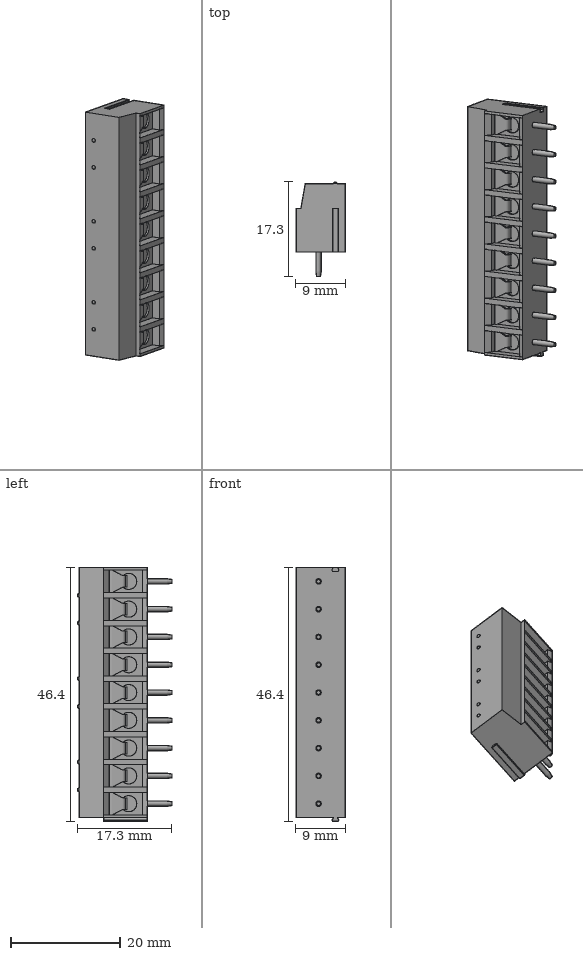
import cadquery as cq


pole_count = 9
pitch = 5.08
housing_width = 9.0
housing_depth = 12.5
housing_height = pole_count * pitch
step_y = 8.0
step_width = 0.85
slope_top_x = 1.65

rib_thickness = 1.0
pocket_height = pitch - rib_thickness
floor_x = 2.0
ramp_x = 0.9
pocket_back_y = 7.0
lip_x = 0.43
lip_y = 0.87

recess_radius = 1.47
recess_y = 3.42
recess_bottom_x = 2.4
tongue_x = 1.65
tongue_back_radius = 0.6
tongue_shoulder_y = pocket_back_y - tongue_back_radius
tongue_bend_radius = 0.5
tongue_end_y = 4.0
tongue_bend_y = tongue_end_y + tongue_bend_radius
tongue_tip_height = 2.1
slot_end_y = 3.78
slot_bottom_x = 2.8

pin_x = 4.1
pin_radius = 0.5
pin_tip_radius = 0.36
pin_length = 4.5
pin_taper_length = 0.9
pin_shank_length = pin_length - pin_taper_length

dovetail_x = 7.18
dovetail_length = step_y
dovetail_widest = 1.26
dovetail_widest_depth = 0.44
dovetail_tip = 1.04
rail_depth = 0.69
rail_neck = 0.7
groove_depth = 0.73
groove_neck = 0.84
groove_mouth = 1.1
groove_flare_depth = 0.12

nub_x = 7.15
nub_radius = 0.35
nub_height = 0.3
nub_skip_interval = 3
nub_joints = [k for k in range(1, pole_count) if k % nub_skip_interval != 0]


def pole_center(index):
    return (index + 0.5) * pitch


def extrude_centered(sketch, height, center_z):
    """Extrude an XY outline symmetrically about the height center_z."""
    return sketch.extrude(height / 2, both=True).translate((0, 0, center_z))


def make_housing():
    outline = cq.Workplane("XY").polyline([
        (0, 0),
        (housing_width, 0),
        (housing_width, housing_depth),
        (slope_top_x, housing_depth),
        (step_width, step_y),
        (0, step_y),
    ]).close()
    return outline.extrude(housing_height)


def make_pocket(center_z):
    """Wire pocket: sloped lip in front, flat floor, upright back wall and a ramp above it."""
    outline = (
        cq.Workplane("XY")
        .moveTo(0, 0)
        .lineTo(lip_x, lip_y)
        .lineTo(floor_x, lip_y)
        .lineTo(floor_x, pocket_back_y)
        .lineTo(ramp_x, pocket_back_y)
        .lineTo(0, step_y)
        .close()
    )
    return extrude_centered(outline, pocket_height, center_z)


def make_recess(center_z):
    """Round screw recess sunk into the pocket floor."""
    return (
        cq.Workplane("YZ", origin=(floor_x, recess_y, center_z))
        .circle(recess_radius)
        .extrude(recess_bottom_x - floor_x)
    )


def make_slot(center_z):
    """Slot in the recess bottom that takes the bent tip of the tongue."""
    slot_depth = slot_bottom_x - floor_x
    slot_width = tongue_bend_y - slot_end_y
    return cq.Workplane("XY").box(slot_depth, slot_width, tongue_tip_height).translate(
        (floor_x + slot_depth / 2, slot_end_y + slot_width / 2, center_z)
    )


def make_tongue(center_z):
    """Clamp tongue standing above the floor.

    It is rounded at the back and narrows toward a tip that bends down into the recess.
    """
    profile = (
        cq.Workplane("XY")
        .moveTo(slot_bottom_x, pocket_back_y)
        .lineTo(tongue_x + tongue_back_radius, pocket_back_y)
        .radiusArc((tongue_x, tongue_shoulder_y), -tongue_back_radius)
        .lineTo(tongue_x, tongue_bend_y)
        .radiusArc((tongue_x + tongue_bend_radius, tongue_end_y), -tongue_bend_radius)
        .lineTo(slot_bottom_x, tongue_end_y)
        .close()
    )
    half_back = pocket_height / 2
    half_tip = tongue_tip_height / 2
    plan = cq.Workplane("YZ", origin=(0, 0, center_z)).polyline([
        (pocket_back_y, -half_back),
        (pocket_back_y, half_back),
        (tongue_shoulder_y, half_back),
        (tongue_bend_y, half_tip),
        (tongue_end_y, half_tip),
        (tongue_end_y, -half_tip),
        (tongue_bend_y, -half_tip),
        (tongue_shoulder_y, -half_back),
    ]).close()
    bent_strip = extrude_centered(profile, pocket_height, center_z)
    return bent_strip.intersect(plan.extrude(slot_bottom_x))


def make_pin(center_z):
    """Round solder pin with a tapered tip; it starts on the front face and points to -Y."""
    profile = cq.Workplane("XY").polyline([
        (0, 0),
        (-pin_radius, 0),
        (-pin_radius, -pin_shank_length),
        (-pin_tip_radius, -pin_length),
        (0, -pin_length),
    ]).close()
    return profile.revolve(360, (0, 0, 0), (0, 1, 0)).translate((pin_x, 0, center_z))


def make_dovetail(base_z, neck, depth):
    """Dovetail bar hanging below the height base_z, from the front face back to the step."""
    half_neck = neck / 2
    half_widest = dovetail_widest / 2
    half_tip = dovetail_tip / 2
    outline = cq.Workplane("XZ", origin=(dovetail_x, 0, base_z)).polyline([
        (-half_neck, 0),
        (-half_widest, -dovetail_widest_depth),
        (-half_tip, -depth),
        (half_tip, -depth),
        (half_widest, -dovetail_widest_depth),
        (half_neck, 0),
    ]).close()
    return outline.extrude(-dovetail_length)


def make_groove_flare():
    """Tapered widening of the groove mouth at the top face."""
    half_mouth = groove_mouth / 2
    half_neck = groove_neck / 2
    outline = cq.Workplane("XZ", origin=(dovetail_x, 0, housing_height)).polyline([
        (-half_mouth, 0),
        (-half_neck, -groove_flare_depth),
        (half_neck, -groove_flare_depth),
        (half_mouth, 0),
    ]).close()
    return outline.extrude(-dovetail_length)


def make_nub(center_z):
    """Small dome whose top stands nub_height above the back face."""
    center_y = housing_depth + nub_height - nub_radius
    return cq.Workplane("XY").sphere(nub_radius).translate((nub_x, center_y, center_z))


result = make_housing()
result = result.cut(make_dovetail(housing_height, groove_neck, groove_depth))
result = result.cut(make_groove_flare())
result = result.union(make_dovetail(0, rail_neck, rail_depth))

for pole in range(pole_count):
    z = pole_center(pole)
    result = result.cut(make_pocket(z))
    result = result.cut(make_recess(z))
    result = result.cut(make_slot(z))
    result = result.union(make_tongue(z))
    result = result.union(make_pin(z))

for joint in nub_joints:
    result = result.union(make_nub(joint * pitch))